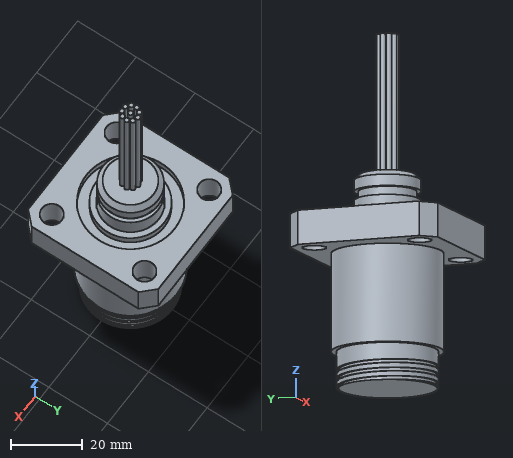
import cadquery as cq
import math

barrel_bottom_z = 10.5
flange_bottom_z = 38.4
flange_top_z = 48.2
neck_groove_bottom_z = 53.55
neck_groove_top_z = 56.1
neck_top_z = 60.9
wire_top_z = 100.7

thread_diameter = 28.6
thread_end_chamfer = 0.3
barrel_diameter = 31.6
neck_diameter = 18.8
neck_groove_diameter = 16.4
neck_chamfer = 1.6

flange_width = 44.4
corner_chamfer = 4.0
mounting_hole_diameter = 6.7
mounting_hole_spacing = 31.6

face_groove_outer_diameter = 30.0
face_groove_inner_diameter = 23.0
neck_clearance_diameter = 19.2
face_groove_depth = 2.5

wire_diameter = 1.5
wire_count = 9
wire_circle_radius = 2.5
wire_start_angle = 90

thread_pitch = 2.4
thread_depth = 0.5
thread_groove_width = 1.0
thread_overcut = 0.3
thread_root_radius = thread_diameter / 2 - thread_depth
thread_entry_z = -2.5
thread_runout_z = 6.35
thread_runout_height = 0.7


def cylinder(diameter, bottom_z, top_z):
    return cq.Workplane("XY").workplane(offset=bottom_z).circle(diameter / 2).extrude(top_z - bottom_z)


def ring(outer_diameter, inner_diameter, bottom_z, top_z):
    return cylinder(outer_diameter, bottom_z, top_z).cut(cylinder(inner_diameter, bottom_z, top_z))


def make_flange():
    flange = (
        cq.Workplane("XY")
        .workplane(offset=flange_bottom_z)
        .rect(flange_width, flange_width)
        .extrude(flange_top_z - flange_bottom_z)
        .edges("|Z")
        .chamfer(corner_chamfer)
    )
    holes = (
        cq.Workplane("XY")
        .workplane(offset=flange_bottom_z)
        .rect(mounting_hole_spacing, mounting_hole_spacing, forConstruction=True)
        .vertices()
        .circle(mounting_hole_diameter / 2)
        .extrude(flange_top_z - flange_bottom_z)
    )
    return flange.cut(holes)


def make_neck():
    neck = cylinder(neck_diameter, flange_bottom_z, neck_top_z).faces(">Z").chamfer(neck_chamfer)
    return neck.cut(ring(neck_diameter, neck_groove_diameter, neck_groove_bottom_z, neck_groove_top_z))


def make_wires():
    centre_wire = cylinder(wire_diameter, neck_top_z, wire_top_z)
    wire_ring = (
        cq.Workplane("XY")
        .workplane(offset=neck_top_z)
        .polarArray(wire_circle_radius, wire_start_angle, 360, wire_count)
        .circle(wire_diameter / 2)
        .extrude(wire_top_z - neck_top_z)
    )
    return centre_wire.union(wire_ring)


def sweep_thread_groove(helix, start_z):
    """Sweep the rectangular groove section along a helix that begins on +X at start_z."""
    section_depth = thread_depth + thread_overcut
    section = (
        cq.Workplane("XZ")
        .center(thread_root_radius + section_depth / 2, start_z)
        .rect(section_depth, thread_groove_width)
    )
    return section.sweep(cq.Workplane(helix), isFrenet=True)


def cut_thread(body):
    full_turns = math.ceil((thread_runout_z - thread_entry_z) / thread_pitch)
    full_height = full_turns * thread_pitch
    start_z = thread_runout_z - full_height
    helix = cq.Wire.makeHelix(thread_pitch, full_height, thread_root_radius, cq.Vector(0, 0, start_z))
    full_groove = sweep_thread_groove(helix, start_z)

    runout_angle = math.degrees(math.atan(thread_depth / thread_runout_height))
    runout_helix = cq.Wire.makeHelix(
        thread_pitch,
        thread_runout_height,
        thread_root_radius,
        cq.Vector(0, 0, thread_runout_z),
        angle=runout_angle,
    )
    runout = sweep_thread_groove(runout_helix, thread_runout_z)
    return body.cut(full_groove).cut(runout)


def make_barrel():
    threaded_end = cylinder(thread_diameter, 0, barrel_bottom_z).faces("<Z").chamfer(thread_end_chamfer)
    return cut_thread(threaded_end).union(cylinder(barrel_diameter, barrel_bottom_z, flange_bottom_z))


def cut_face_grooves(body):
    """Cut the wide ring groove and the narrow clearance that the neck stands in."""
    floor_z = flange_top_z - face_groove_depth
    wide_groove = ring(face_groove_outer_diameter, face_groove_inner_diameter, floor_z, flange_top_z)
    clearance = ring(neck_clearance_diameter, neck_diameter, floor_z, flange_top_z)
    return body.cut(wide_groove).cut(clearance)


housing = make_barrel().union(make_flange())
housing = cut_face_grooves(housing)
result = housing.union(make_neck()).union(make_wires())